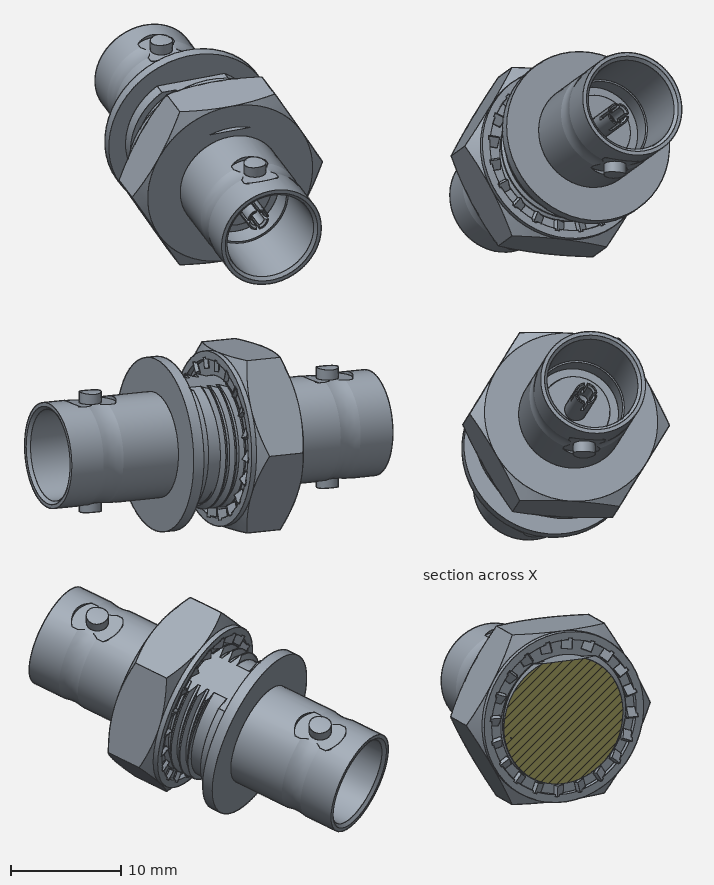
import cadquery as cq
import math

LENGTH = 32.55

BARREL_R = 4.85
MOUTH_R = 4.5
MOUTH_CHAMFER = 0.3
SOCKET_R = MOUTH_R - MOUTH_CHAMFER
SOCKET_DEPTH = 6.83
SEAT_R = 4.05
SEAT_DEPTH = 8.8
INSULATOR_R = 3.2
INSULATOR_RISE = 0.33

CONTACT_R = 1.0
CONTACT_TIP = 3.42
CONTACT_BORE_R = 0.68
CONTACT_BORE_DEPTH = 2.6
CONTACT_COUNTERSINK = 0.2
DRILL_POINT_ANGLE = 118.0
SLOT_WIDTH = 0.3
SLOT_DEPTH = 1.95

LUG_X = 4.25
LUG_R = 1.0
LUG_TIP_R = 5.55
SPOT_FACE_R = 2.35
SPOT_FACE_HEIGHT = 4.55
GROOVE_DEPTH = 0.13

FLANGE_X = 10.8
FLANGE_END = 11.85
FLANGE_R = 7.97
SHOULDER_END = 13.1
SHOULDER_R = 6.35
THREAD_ROOT_R = 5.75
FLAT_HEIGHT = 5.45

THREAD_X = 14.48
THREAD_CREST_R = 6.28
PITCH = 0.95
RIDGE_BASE = 0.7
RIDGE_CREST = 0.13
RIDGE_BURIAL = 0.1
THREAD_TURNS = 5

WASHER_X = 16.65
WASHER_R = 8.0
WASHER_INNER_R = 7.25
TOOTH_COUNT = 20
TOOTH_TIP_R = 6.4
TOOTH_WIDTH = 0.98
TOOTH_THICKNESS = 0.4
TOOTH_TWIST = -32.0
TOOTH_PHASE = 3.5

NUT_X = 17.15
NUT_END = 21.93
NUT_FLATS = 16.0
NUT_SIDES = 6
NUT_CHAMFER_ANGLE = 30.0

OVERLAP = 0.15


def cylinder(start, end, radius):
    """Solid cylinder around the X axis, between two X positions."""
    return cq.Workplane("YZ").workplane(offset=start).circle(radius).extrude(end - start)


def revolve_x(sketch):
    """Turn a closed (x, radius) outline around the X axis."""
    return sketch.close().revolve(360, (0, 0, 0), (1, 0, 0))


def socket_cavity():
    """Stepped bore of the -X end, with a chamfered mouth."""
    insulator_x = SEAT_DEPTH - INSULATOR_RISE
    return revolve_x(
        cq.Workplane("XY")
        .moveTo(0, 0)
        .lineTo(0, MOUTH_R)
        .lineTo(MOUTH_CHAMFER, SOCKET_R)
        .lineTo(SOCKET_DEPTH, SOCKET_R)
        .lineTo(SOCKET_DEPTH, SEAT_R)
        .lineTo(SEAT_DEPTH, SEAT_R)
        .lineTo(SEAT_DEPTH, INSULATOR_R)
        .lineTo(insulator_x, INSULATOR_R)
        .lineTo(insulator_x, 0)
    )


def contact():
    """Slotted female contact standing on the insulator of the -X end."""
    pin = cylinder(CONTACT_TIP, SEAT_DEPTH, CONTACT_R)
    bore_end = CONTACT_TIP + CONTACT_BORE_DEPTH
    drill_point = CONTACT_BORE_R / math.tan(math.radians(DRILL_POINT_ANGLE / 2))
    bore = revolve_x(
        cq.Workplane("XY")
        .moveTo(CONTACT_TIP, 0)
        .lineTo(CONTACT_TIP, CONTACT_BORE_R + CONTACT_COUNTERSINK)
        .lineTo(CONTACT_TIP + CONTACT_COUNTERSINK, CONTACT_BORE_R)
        .lineTo(bore_end, CONTACT_BORE_R)
        .lineTo(bore_end + drill_point, 0)
    )
    slots = (
        cq.Workplane("YZ")
        .workplane(offset=CONTACT_TIP)
        .rect(SLOT_WIDTH, 2 * CONTACT_R)
        .rect(2 * CONTACT_R, SLOT_WIDTH)
        .extrude(SLOT_DEPTH)
    )
    return pin.cut(bore).cut(slots)


def lug_groove():
    """Shallow round-bottomed groove around the barrel at the -X lugs."""
    rim = BARREL_R + OVERLAP
    return revolve_x(
        cq.Workplane("XY")
        .moveTo(LUG_X - LUG_R, rim)
        .lineTo(LUG_X - LUG_R, BARREL_R)
        .threePointArc((LUG_X, BARREL_R - GROOVE_DEPTH), (LUG_X + LUG_R, BARREL_R))
        .lineTo(LUG_X + LUG_R, rim)
    )


def spot_faces():
    """Cutters for the round flats at the top and bottom of the barrel."""
    upper = (
        cq.Workplane("XY", origin=(LUG_X, 0, SPOT_FACE_HEIGHT))
        .circle(SPOT_FACE_R)
        .extrude(BARREL_R - SPOT_FACE_HEIGHT + OVERLAP)
    )
    return upper.union(upper.mirror("XY"))


def lugs():
    """Two opposite lugs whose tips are rounded about the X axis."""
    both = cq.Workplane("XY", origin=(LUG_X, 0, 0)).circle(LUG_R).extrude(LUG_TIP_R, both=True)
    shell = cylinder(0, 2 * LUG_X, LUG_TIP_R).cut(cylinder(0, 2 * LUG_X, SOCKET_R + OVERLAP))
    return both.intersect(shell)


def thread_ridge():
    """Right-handed helical ridge, cut off square at both ends."""
    height = PITCH * THREAD_TURNS
    helix = cq.Wire.makeHelix(PITCH, height, THREAD_ROOT_R)
    flank_slope = (RIDGE_BASE - RIDGE_CREST) / 2 / (THREAD_CREST_R - THREAD_ROOT_R)
    buried_r = THREAD_ROOT_R - RIDGE_BURIAL
    buried_half = RIDGE_BASE / 2 + flank_slope * RIDGE_BURIAL
    ridge = (
        cq.Workplane("XZ")
        .polyline([
            (buried_r, -buried_half),
            (THREAD_CREST_R, -RIDGE_CREST / 2),
            (THREAD_CREST_R, RIDGE_CREST / 2),
            (buried_r, buried_half),
        ])
        .close()
        .sweep(cq.Workplane(obj=helix), isFrenet=True)
        .rotate((0, 0, 0), (1, 1, 1), 120)
        .translate((THREAD_X - PITCH, 0, 0))
    )
    return ridge.intersect(cylinder(THREAD_X, NUT_X + OVERLAP, THREAD_CREST_R + OVERLAP))


def threaded_body():
    """Shoulder and threaded body, both cut by one flat on top."""
    body = cylinder(FLANGE_X, SHOULDER_END, SHOULDER_R)
    body = body.union(cylinder(FLANGE_X, NUT_END, THREAD_ROOT_R)).union(thread_ridge())
    above_flat = (
        cq.Workplane("XY", origin=(FLANGE_X, 0, FLAT_HEIGHT))
        .box(NUT_END - FLANGE_X, 2 * SHOULDER_R, SHOULDER_R, centered=(False, True, False))
    )
    return body.cut(above_flat)


def lock_washer():
    """Ring with teeth pointing inward, each twisted about its radius."""
    washer = cylinder(WASHER_X, NUT_X, WASHER_R).cut(cylinder(WASHER_X, NUT_X, WASHER_INNER_R))
    tooth_length = WASHER_INNER_R + OVERLAP - TOOTH_TIP_R
    tooth = (
        cq.Workplane("XY")
        .box(TOOTH_THICKNESS, tooth_length, TOOTH_WIDTH)
        .rotate((0, 0, 0), (0, 1, 0), TOOTH_TWIST)
        .translate(((WASHER_X + NUT_X) / 2, TOOTH_TIP_R + tooth_length / 2, 0))
    )
    for index in range(TOOTH_COUNT):
        angle = TOOTH_PHASE + index * 360 / TOOTH_COUNT
        washer = washer.union(tooth.rotate((0, 0, 0), (1, 0, 0), angle))
    return washer


def nut():
    """Hexagon nut with chamfered corners at both faces."""
    across_corners = NUT_FLATS / math.cos(math.pi / NUT_SIDES)
    corner_r = across_corners / 2
    face_r = NUT_FLATS / 2
    chamfer = (corner_r - face_r) * math.tan(math.radians(NUT_CHAMFER_ANGLE))
    hexagon = (
        cq.Workplane("YZ")
        .workplane(offset=NUT_X)
        .polygon(NUT_SIDES, across_corners)
        .extrude(NUT_END - NUT_X)
    )
    envelope = revolve_x(
        cq.Workplane("XY")
        .moveTo(NUT_X, 0)
        .lineTo(NUT_X, face_r)
        .lineTo(NUT_X + chamfer, corner_r)
        .lineTo(NUT_END - chamfer, corner_r)
        .lineTo(NUT_END, face_r)
        .lineTo(NUT_END, 0)
    )
    return hexagon.intersect(envelope).cut(cylinder(NUT_X, NUT_END, THREAD_ROOT_R))


def at_both_ends(feature):
    """The feature of the -X end together with its mirror image at the +X end."""
    middle = (LENGTH / 2, 0, 0)
    return feature.union(feature.mirror("YZ", middle))


result = cylinder(0, LENGTH, BARREL_R)
result = result.cut(at_both_ends(socket_cavity()))
result = result.cut(at_both_ends(lug_groove()))
result = result.cut(at_both_ends(spot_faces()))
result = result.union(at_both_ends(lugs()))
result = result.union(at_both_ends(contact()))
result = result.union(cylinder(FLANGE_X, FLANGE_END, FLANGE_R))
result = result.union(threaded_body())
result = result.union(nut())
result = result.union(lock_washer())